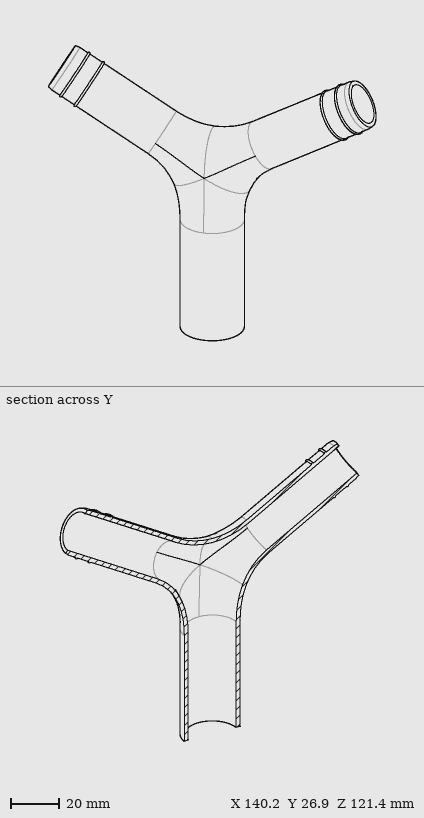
import cadquery as cq
import math

overall_width = 140.2
stem_diameter = 26.9
arm_diameter = 21.3
wall = 2.1
hub_reach = 25.0
hub_half_depth = 12.5
stem_angle = -90.0
arm_angles = (30.0, 150.0)
tube_spacing = 120.0

stem_radius = stem_diameter / 2
arm_radius = arm_diameter / 2

tip_length = 2.0
tip_radius = 10.2
bead_offsets = (6.5, 13.6)
bead_radius = 0.5

arm_slope = math.radians(arm_angles[0])
tube_reach = (overall_width / 2 - tip_radius * math.sin(arm_slope)) / math.cos(arm_slope)

sections_per_wedge = 5


def direction(angle):
    """Unit vector in the XZ plane, measured from +X towards +Z."""
    a = math.radians(angle)
    return cq.Vector(math.cos(a), 0, math.sin(a))


def ease(start, end, t):
    """Smooth step from start to end that is level at both ends."""
    return start + (end - start) * (1 - math.cos(math.pi * t)) / 2


def half_ellipse(spine_point, outline_point, half_depth):
    """Half ellipse across Y, closed along the spine and bulging to the outline."""
    outward = outline_point - spine_point
    side = cq.Vector(0, 1, 0)
    ellipse = cq.Edge.makeEllipse(
        outward.Length, half_depth, spine_point, outward.cross(side), outward, -90, 90, 1
    )
    chord = cq.Edge.makeLine(ellipse.endPoint(), ellipse.startPoint())
    return cq.Wire.assembleEdges([ellipse, chord])


def hub_wedge(angle, radius, neighbour_angle, neighbour_radius, half_depth):
    """Sixth of the hub, from one tube to the bisector with its neighbour."""
    half_spacing = math.radians(tube_spacing / 2)
    bisector = direction((angle + neighbour_angle) / 2)
    bend_centre = bisector * (hub_reach / math.cos(half_spacing))
    bend_radius = hub_reach * math.tan(half_spacing)
    turn_sign = math.copysign(1, neighbour_angle - angle)
    start_angle = angle - turn_sign * 90
    half_turn = (180 - tube_spacing) / 2

    sections = []
    for i in range(sections_per_wedge):
        t = i / (sections_per_wedge - 1)
        spine_point = direction(angle) * (hub_reach * (1 - t))
        bend_offset = bend_radius - ease(radius, neighbour_radius, t / 2)
        ray = direction(start_angle - turn_sign * half_turn * t)
        outline_point = bend_centre + ray * bend_offset
        sections.append(half_ellipse(spine_point, outline_point, ease(radius, half_depth, t)))
    return cq.Workplane(obj=cq.Solid.makeLoft(sections))


def tube(angle, radius):
    start = direction(angle) * hub_reach
    return cq.Workplane(
        obj=cq.Solid.makeCylinder(radius, tube_reach - hub_reach, start, direction(angle))
    )


def fitting_body(inset):
    """Solid hub and tubes with every surface moved inwards by inset."""
    stem = (stem_angle, stem_radius - inset)
    right_arm = (arm_angles[0], arm_radius - inset)
    left_arm = (arm_angles[1], arm_radius - inset)
    stem_full_turn = (stem_angle + 360, stem_radius - inset)
    body = tube(*stem).union(tube(*right_arm)).union(tube(*left_arm))
    for first, second in ((stem, right_arm), (right_arm, left_arm), (left_arm, stem_full_turn)):
        body = body.union(hub_wedge(*first, *second, hub_half_depth - inset))
        body = body.union(hub_wedge(*second, *first, hub_half_depth - inset))
    return body


def arm_plane(angle):
    """Plane whose Y runs outwards along the arm and whose Z is across the fitting."""
    return cq.Plane((0, 0, 0), direction(angle - 90), (0, -1, 0))


def tip_cutter(angle):
    """Ring that tapers the outside of the arm end."""
    return (
        cq.Workplane(arm_plane(angle))
        .moveTo(arm_radius, tube_reach - tip_length)
        .lineTo(tip_radius, tube_reach)
        .lineTo(arm_radius + wall, tube_reach)
        .lineTo(arm_radius + wall, tube_reach - tip_length)
        .close()
        .revolve(360, (0, 0), (0, 1))
    )


def bead(angle, offset):
    """Half-round ring standing on the outside of the arm."""
    height = tube_reach - offset
    base_radius = arm_radius - wall / 2
    return (
        cq.Workplane(arm_plane(angle))
        .moveTo(base_radius, height - bead_radius)
        .lineTo(arm_radius, height - bead_radius)
        .threePointArc((arm_radius + bead_radius, height), (arm_radius, height + bead_radius))
        .lineTo(base_radius, height + bead_radius)
        .close()
        .revolve(360, (0, 0), (0, 1))
    )


result = fitting_body(0).cut(fitting_body(wall))
for arm_angle in arm_angles:
    result = result.cut(tip_cutter(arm_angle))
    for bead_offset in bead_offsets:
        result = result.union(bead(arm_angle, bead_offset))